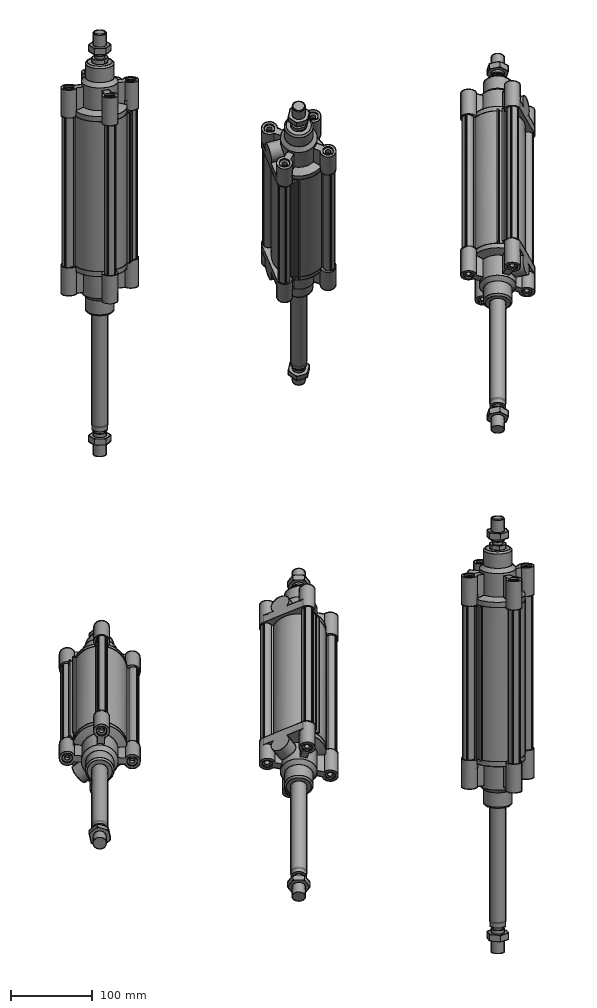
import cadquery as cq
import math


TOTAL_LENGTH = 559.0
BARREL_BOTTOM = 255.5
BARREL_LENGTH = 198.5
BARREL_TOP = BARREL_BOTTOM + BARREL_LENGTH

BARREL_DIAMETER = 67.5
BORE_DIAMETER = 63.0
CORNER_ROD_DIAMETER = 14.5
CORNER_ROD_OFFSET = 29.0
CORNER_WEB_WIDTH = 9.5
CORNER_GROOVE_WIDTH = 1.5
CORNER_GROOVE_DEPTH = 1.0
RIB_WIDTH = 2.0
LOW_RIB_Y = 12.0
LOW_RIB_REACH = 36.0
HIGH_RIB_Y = 18.5
HIGH_RIB_REACH = 35.0

CAP_SIZE = 76.0
LOBE_DIAMETER = 19.5
LOBE_OFFSET = (CAP_SIZE - LOBE_DIAMETER) / 2
LOBE_HEIGHT = 37.0
BASE_DIAMETER = 67.0
BASE_HEIGHT = 6.5
NECK_DIAMETER = 45.0
NECK_HEIGHT = 40.0
FLOOR_RISE = 3.5
COLLAR_DIAMETER = 35.0
COLLAR_HEIGHT = 66.0
COLLAR_CHAMFER = 2.0
CAP_WEB_WIDTH = 9.0
PORT_DIAMETER = 25.0
PORT_X = 4.5
PORT_HEIGHT = 20.0
PORT_PAD_HEIGHT = 12.5
SCREW_HOLE_STEPS = [(13.0, 2.0), (6.5, 9.0)]

ROD_DIAMETER = 20.0
ROD_END_DIAMETER = 19.5
ROD_END_LENGTH = 39.0
ROD_END_TAPER = 1.5
SHOULDER = 33.5
RELIEF_DIAMETER = 13.0
THREAD_DIAMETER = 16.0
THREAD_LENGTH = 29.5
UPPER_THREAD_CHAMFER = 1.0
FLATS_WIDTH = 18.0

NUT_WIDTH = 24.0
NUT_THICKNESS = 8.5
NUT_CHAMFER_DIAMETER = 25.5
NUT_CHAMFER_SLOPE = math.tan(math.radians(30))
LOWER_NUT_Z = 17.0
UPPER_NUT_Z = 534.0

CORNERS = [(sx, sy) for sx in (-1, 1) for sy in (-1, 1)]


def cylinder(diameter, height, x=0, y=0, z=0):
    return cq.Workplane("XY", origin=(x, y, z)).circle(diameter / 2).extrude(height)


def block(x_size, y_size, height, x=0, y=0, z=0):
    return cq.Workplane("XY", origin=(x, y, z)).rect(x_size, y_size).extrude(height)


def turned(profile):
    """Solid of revolution about Z from (radius, z) points."""
    return cq.Workplane("XZ").polyline(profile).close().revolve(360, (0, 0), (0, 1))


def diagonal_webs(corner_offset, width, height):
    """Two crossing plates that reach the points (+-corner_offset, +-corner_offset)."""
    length = 2 * math.sqrt(2) * corner_offset
    plate = block(length, width, height).rotate((0, 0, 0), (0, 0, 1), 45)
    return plate.union(plate.mirror("YZ"))


def make_barrel():
    """Extruded tube with four corner rods and two ribs on each X side."""
    body = cylinder(BARREL_DIAMETER, BARREL_LENGTH)
    rod_radius = CORNER_ROD_DIAMETER / 2
    for sx, sy in CORNERS:
        x = sx * CORNER_ROD_OFFSET
        y = sy * CORNER_ROD_OFFSET
        body = body.union(cylinder(CORNER_ROD_DIAMETER, BARREL_LENGTH, x, y))
    body = body.union(diagonal_webs(CORNER_ROD_OFFSET, CORNER_WEB_WIDTH, BARREL_LENGTH))

    groove = 2 * CORNER_GROOVE_DEPTH
    for sx, sy in CORNERS:
        x = sx * CORNER_ROD_OFFSET
        y = sy * CORNER_ROD_OFFSET
        body = body.cut(block(groove, CORNER_GROOVE_WIDTH, BARREL_LENGTH, x + sx * rod_radius, y))
        body = body.cut(block(CORNER_GROOVE_WIDTH, groove, BARREL_LENGTH, x, y + sy * rod_radius))

    for rib_y, reach in ((LOW_RIB_Y, LOW_RIB_REACH), (HIGH_RIB_Y, HIGH_RIB_REACH)):
        body = body.union(block(2 * reach, RIB_WIDTH, BARREL_LENGTH, 0, rib_y))
    bore = cylinder(BORE_DIAMETER, BARREL_LENGTH)
    return body.cut(bore).translate((0, 0, BARREL_BOTTOM))


def make_cap():
    """Cap standing on Z = 0 with its collar upward."""
    base_radius = BASE_DIAMETER / 2
    neck_radius = NECK_DIAMETER / 2
    collar_radius = COLLAR_DIAMETER / 2
    body = turned([
        (0, 0),
        (base_radius, 0),
        (base_radius, BASE_HEIGHT),
        (neck_radius, BASE_HEIGHT + FLOOR_RISE),
        (neck_radius, NECK_HEIGHT),
        (collar_radius, NECK_HEIGHT + neck_radius - collar_radius),
        (collar_radius, COLLAR_HEIGHT - COLLAR_CHAMFER),
        (collar_radius - COLLAR_CHAMFER, COLLAR_HEIGHT),
        (0, COLLAR_HEIGHT),
    ])

    body = body.union(diagonal_webs(LOBE_OFFSET, CAP_WEB_WIDTH, LOBE_HEIGHT))
    for sx, sy in CORNERS:
        body = body.union(cylinder(LOBE_DIAMETER, LOBE_HEIGHT, sx * LOBE_OFFSET, sy * LOBE_OFFSET))

    port_face = CAP_SIZE / 2
    pad_y = port_face - LOBE_DIAMETER / 2
    body = body.union(block(2 * LOBE_OFFSET, LOBE_DIAMETER, PORT_PAD_HEIGHT, 0, pad_y))
    port = (
        cq.Workplane("XZ", origin=(PORT_X, port_face, PORT_HEIGHT))
        .circle(PORT_DIAMETER / 2)
        .extrude(port_face)
    )
    body = body.union(port)

    for sx, sy in CORNERS:
        for diameter, depth in SCREW_HOLE_STEPS:
            hole = cylinder(diameter, depth, sx * LOBE_OFFSET, sy * LOBE_OFFSET, LOBE_HEIGHT - depth)
            body = body.cut(hole)
    return body.cut(cylinder(ROD_DIAMETER, COLLAR_HEIGHT))


def make_rod():
    """Through rod: plain thread at the bottom, chamfered thread and flats at the top."""
    rod_radius = ROD_DIAMETER / 2
    end_radius = ROD_END_DIAMETER / 2
    thread_radius = THREAD_DIAMETER / 2
    relief_radius = RELIEF_DIAMETER / 2
    chamfered_radius = thread_radius - UPPER_THREAD_CHAMFER
    thread_start = TOTAL_LENGTH - THREAD_LENGTH
    rod = turned([
        (0, 0),
        (thread_radius, 0),
        (thread_radius, THREAD_LENGTH),
        (relief_radius, THREAD_LENGTH),
        (relief_radius, SHOULDER),
        (end_radius, SHOULDER),
        (end_radius, ROD_END_LENGTH),
        (rod_radius, ROD_END_LENGTH + ROD_END_TAPER),
        (rod_radius, TOTAL_LENGTH - SHOULDER),
        (relief_radius, TOTAL_LENGTH - SHOULDER),
        (relief_radius, thread_start),
        (chamfered_radius, thread_start),
        (thread_radius, thread_start + UPPER_THREAD_CHAMFER),
        (thread_radius, TOTAL_LENGTH - UPPER_THREAD_CHAMFER),
        (chamfered_radius, TOTAL_LENGTH),
        (0, TOTAL_LENGTH),
    ])
    flats_bottom = BARREL_TOP + COLLAR_HEIGHT
    flats_length = TOTAL_LENGTH - SHOULDER - flats_bottom
    for side in (-1, 1):
        x = side * (FLATS_WIDTH + ROD_DIAMETER) / 2
        rod = rod.cut(block(ROD_DIAMETER, ROD_DIAMETER, flats_length, x, 0, flats_bottom))
    return rod


def make_nut(z):
    """Chamfered hexagon nut with its lower face at the given height."""
    corner_diameter = NUT_WIDTH / math.cos(math.radians(30))
    hexagon = cq.Workplane("XY").polygon(6, corner_diameter).extrude(NUT_THICKNESS)
    hexagon = hexagon.rotate((0, 0, 0), (0, 0, 1), 30)
    face_radius = NUT_CHAMFER_DIAMETER / 2
    chamfer = (corner_diameter / 2 - face_radius) * NUT_CHAMFER_SLOPE
    rounded = turned([
        (0, 0),
        (face_radius, 0),
        (corner_diameter / 2, chamfer),
        (corner_diameter / 2, NUT_THICKNESS - chamfer),
        (face_radius, NUT_THICKNESS),
        (0, NUT_THICKNESS),
    ])
    nut = hexagon.intersect(rounded).cut(cylinder(THREAD_DIAMETER, NUT_THICKNESS))
    return nut.translate((0, 0, z))


barrel = make_barrel()
upper_cap = make_cap().translate((0, 0, BARREL_TOP))
lower_cap = make_cap().mirror("XY").translate((0, 0, BARREL_BOTTOM))
rod = make_rod()
nuts = [make_nut(z) for z in (LOWER_NUT_Z, UPPER_NUT_Z)]

result = cq.Compound.makeCompound(
    [barrel.val(), upper_cap.val(), lower_cap.val(), rod.val(), *[nut.val() for nut in nuts]]
)